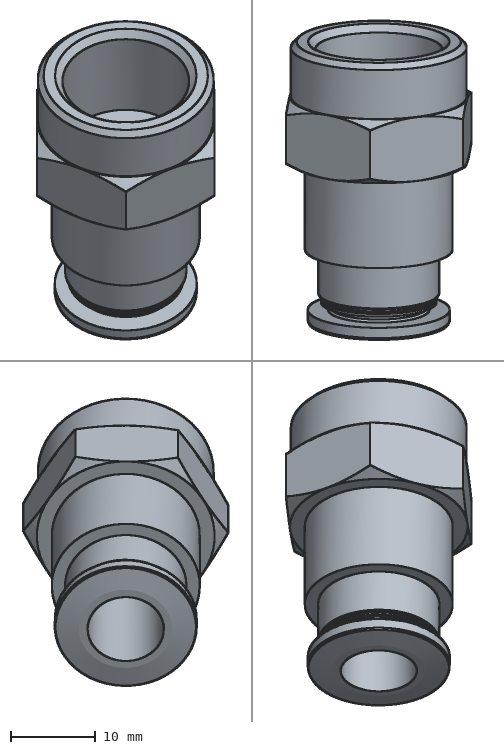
import cadquery as cq
import math

total_height = 34.7
hex_top = 28.0
hex_bottom = 20.2
body_bottom = 9.35
neck_bottom = 3.85
sleeve_top = 2.9
flange_top = 1.95

collar_diameter = 20.8
body_diameter = 17.5
neck_diameter = 14.35
lip_diameter = 13.7
sleeve_diameter = 11.4
flange_diameter = 16.8
flange_face_diameter = 11.0

hex_across_flats = 21.0
hex_chamfer_angle = 30.0

collar_chamfer = 0.7
neck_chamfer = 0.15
lip_groove_width = 0.3
lip_groove_depth = 0.15
lip_groove_center = 3.38
sleeve_flare = 0.3
flange_rim_bottom = 0.7
flange_edge_height = 0.45
flange_edge_inset = 0.1

socket_diameter = 14.95
socket_mouth_diameter = 16.7
socket_depth = 12.0
bore_diameter = 9.0
bore_mouth_diameter = 10.0


def revolve_profile(points):
    """Revolve a closed (radius, height) outline about Z."""
    return cq.Workplane("XZ").polyline(points).close().revolve(360, (0, 0, 0), (0, 1, 0))


def make_turned_body():
    """Collar, body and neck down to the V-grooved lip, then sleeve and flange."""
    collar_radius = collar_diameter / 2
    body_radius = body_diameter / 2
    neck_radius = neck_diameter / 2
    lip_radius = lip_diameter / 2
    sleeve_radius = sleeve_diameter / 2
    flange_radius = flange_diameter / 2
    groove_top = lip_groove_center + lip_groove_width / 2
    groove_bottom = lip_groove_center - lip_groove_width / 2
    groove_radius = lip_radius - lip_groove_depth
    return revolve_profile([
        (0, total_height),
        (collar_radius - collar_chamfer, total_height),
        (collar_radius, total_height - collar_chamfer),
        (collar_radius, hex_bottom),
        (body_radius, hex_bottom),
        (body_radius, body_bottom),
        (neck_radius, body_bottom),
        (neck_radius, neck_bottom + neck_chamfer),
        (neck_radius - neck_chamfer, neck_bottom),
        (lip_radius, neck_bottom),
        (lip_radius, groove_top),
        (groove_radius, lip_groove_center),
        (lip_radius, groove_bottom),
        (lip_radius, sleeve_top),
        (sleeve_radius, sleeve_top),
        (sleeve_radius, flange_top + sleeve_flare),
        (sleeve_radius + sleeve_flare, flange_top),
        (flange_radius, flange_top),
        (flange_radius, flange_rim_bottom),
        (flange_radius - flange_edge_inset, flange_edge_height),
        (flange_face_diameter / 2, 0),
        (0, 0),
    ])


def make_hexagon():
    """Hexagon with conical corner chamfers that touch the flats at both faces."""
    corner_diameter = hex_across_flats / math.cos(math.pi / 6)
    corner_radius = corner_diameter / 2
    face_radius = hex_across_flats / 2
    corner_drop = (corner_radius - face_radius) * math.tan(math.radians(hex_chamfer_angle))
    prism = (
        cq.Workplane("XY", origin=(0, 0, hex_bottom))
        .polygon(6, corner_diameter)
        .extrude(hex_top - hex_bottom)
    )
    chamfer_envelope = revolve_profile([
        (0, hex_bottom),
        (face_radius, hex_bottom),
        (corner_radius, hex_bottom + corner_drop),
        (corner_radius, hex_top - corner_drop),
        (face_radius, hex_top),
        (0, hex_top),
    ])
    return prism.intersect(chamfer_envelope)


def make_passage():
    """Chamfered socket from the top, leading into a chamfered through bore."""
    socket_radius = socket_diameter / 2
    socket_mouth_radius = socket_mouth_diameter / 2
    bore_radius = bore_diameter / 2
    bore_mouth_radius = bore_mouth_diameter / 2
    socket_floor = total_height - socket_depth
    return revolve_profile([
        (0, total_height),
        (socket_mouth_radius, total_height),
        (socket_radius, total_height - (socket_mouth_radius - socket_radius)),
        (socket_radius, socket_floor),
        (bore_mouth_radius, socket_floor),
        (bore_radius, socket_floor - (bore_mouth_radius - bore_radius)),
        (bore_radius, 0),
        (0, 0),
    ])


result = make_turned_body().union(make_hexagon()).cut(make_passage())